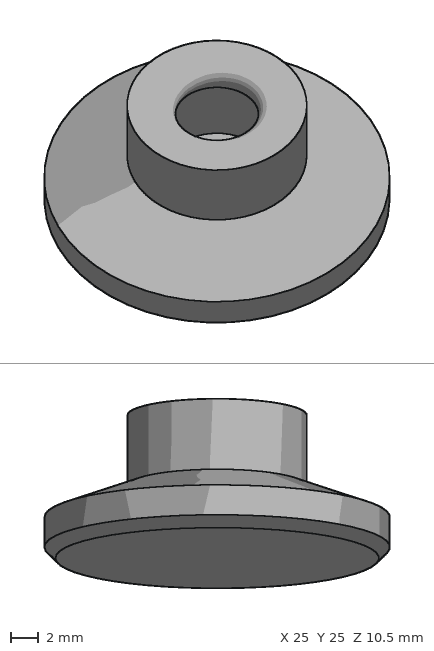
import cadquery as cq
import math

flange_radius = 12.5
base_chamfer = 0.8
rim_top = 3.0

overall_height = 10.5
boss_radius = 6.5
boss_base = 5.3

hole_radius = 3.9
lip_radius = 0.9
straight_depth = 7.0
floor_cone_angle = 120.0

throat_radius = hole_radius - lip_radius
lip_bottom = overall_height - 2 * lip_radius
wall_bottom = overall_height - straight_depth
cone_depth = hole_radius / math.tan(math.radians(floor_cone_angle / 2))
cone_tip = wall_bottom - cone_depth


def make_body():
    """Solid of revolution about Z, drawn with radius along X and height along Z."""
    profile = (
        cq.Workplane("XZ")
        .lineTo(flange_radius - base_chamfer, 0)
        .lineTo(flange_radius, base_chamfer)
        .lineTo(flange_radius, rim_top)
        .lineTo(boss_radius, boss_base)
        .lineTo(boss_radius, overall_height)
        .lineTo(hole_radius, overall_height)
        .threePointArc((throat_radius, overall_height - lip_radius), (hole_radius, lip_bottom))
        .lineTo(hole_radius, wall_bottom)
        .lineTo(0, cone_tip)
        .close()
    )
    return profile.revolve(360, (0, 0, 0), (0, 1, 0))


result = make_body()